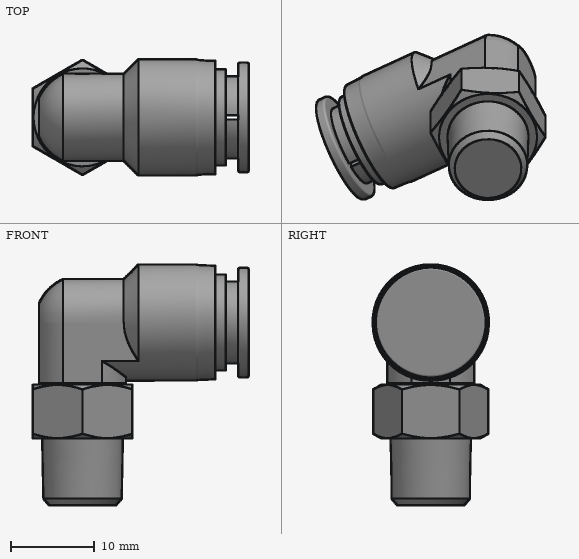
import cadquery as cq
import math

thread_end_radius = 4.73
thread_root_radius = 4.87
thread_chamfer_height = 0.8
thread_tip_radius = 4.0

hex_bottom = 8.03
hex_top = 14.55
hex_across_flats = 12.0
hex_turn = 30
hex_corner_radius = hex_across_flats / math.sqrt(3)
hex_face_radius = 5.9
hex_chamfer_angle = 30
hex_chamfer_height = (hex_corner_radius - hex_face_radius) * math.tan(math.radians(hex_chamfer_angle))

elbow_bottom = 14.73
half_flats = 5.25
column_radius = 5.75
flat_half_width = math.sqrt(column_radius**2 - half_flats**2)
spigot_radius = half_flats

total_height = 29.0
socket_diameter = 14.0
socket_radius = socket_diameter / 2
axis_height = total_height - socket_radius
cone_start = 4.95
cone_end = cone_start + socket_radius - half_flats
socket_end = 13.65
cap_start = 13.9
cap_start_radius = 6.93
cap_end = 16.0
cap_end_radius = 6.85
collar_end = 17.25
collar_radius = 5.8
edge_chamfer = 0.1

sleeve_radius = 4.95
flange_start = 18.7
flange_end = 20.0
flange_radius = 6.6
flange_fillet = 0.3
slot_width = 0.5


def make_stud():
    """Tapered threaded end, chamfered hexagon and the round spigot under the elbow."""
    thread = (
        cq.Workplane("XZ")
        .polyline([
            (0, 0),
            (thread_tip_radius, 0),
            (thread_end_radius, thread_chamfer_height),
            (thread_root_radius, hex_bottom),
            (0, hex_bottom),
        ])
        .close()
        .revolve(360, (0, 0), (0, 1))
    )
    hexagon = (
        cq.Workplane("XY", origin=(0, 0, hex_bottom))
        .transformed(rotate=(0, 0, hex_turn))
        .polygon(6, 2 * hex_corner_radius)
        .extrude(hex_top - hex_bottom)
    )
    corner_envelope = (
        cq.Workplane("XZ")
        .polyline([
            (0, hex_bottom),
            (hex_face_radius, hex_bottom),
            (hex_corner_radius, hex_bottom + hex_chamfer_height),
            (hex_corner_radius, hex_top - hex_chamfer_height),
            (hex_face_radius, hex_top),
            (0, hex_top),
        ])
        .close()
        .revolve(360, (0, 0), (0, 1))
    )
    spigot = (
        cq.Workplane("XY", origin=(0, 0, hex_top))
        .circle(spigot_radius)
        .extrude(elbow_bottom - hex_top)
    )
    return thread.union(hexagon.intersect(corner_envelope)).union(spigot)


def make_bar(radius, start, end):
    """Round bar along the socket axis between two X positions."""
    return cq.Workplane("YZ", origin=(start, 0, axis_height)).circle(radius).extrude(end - start)


def make_column():
    """Upright leg of the elbow: a cylinder with four flats."""
    base = cq.Workplane("XY", origin=(0, 0, elbow_bottom))
    leg_height = axis_height - elbow_bottom
    leg = base.circle(column_radius).extrude(leg_height)
    flats = base.rect(2 * half_flats, 2 * half_flats).extrude(leg_height)
    return leg.intersect(flats)


def make_dome():
    """Spherical back corner above the column, ending where the sphere meets the round arm."""
    sphere = cq.Workplane("XY", origin=(0, 0, axis_height)).sphere(column_radius)
    back_bar = make_bar(half_flats, -half_flats, -flat_half_width)
    above_axis = (
        cq.Workplane("XY", origin=(0, 0, axis_height))
        .rect(2 * column_radius, 2 * column_radius)
        .extrude(column_radius)
    )
    return sphere.intersect(back_bar).intersect(above_axis)


def make_arm():
    """Round-topped arm with flat sides, its underside rounded to the socket radius."""
    lower_web = (
        cq.Workplane("XY", origin=(cone_end / 2, 0, axis_height))
        .rect(cone_end, 2 * half_flats)
        .extrude(-socket_radius)
        .intersect(make_bar(socket_radius, 0, cone_end))
    )
    return make_bar(half_flats, -flat_half_width, cone_end).union(lower_web)


def make_socket():
    """Turned socket with its entry cone, cap, collar and slotted release sleeve."""
    turned = (
        cq.Workplane("XZ", origin=(0, 0, axis_height))
        .polyline([
            (cone_start, 0),
            (cone_start, half_flats),
            (cone_end, socket_radius),
            (socket_end, socket_radius),
            (cap_start, cap_start_radius),
            (cap_end - edge_chamfer, cap_end_radius),
            (cap_end, cap_end_radius - edge_chamfer),
            (cap_end, collar_radius),
            (collar_end - edge_chamfer, collar_radius),
            (collar_end, collar_radius - edge_chamfer),
            (collar_end, sleeve_radius),
            (flange_start, sleeve_radius),
            (flange_start, 0),
        ])
        .close()
        .revolve(360, (0, 0), (1, 0))
    )
    slot = (
        cq.Workplane("XY", origin=((collar_end + flange_start) / 2, 0, axis_height))
        .rect(flange_start - collar_end, slot_width)
        .extrude(sleeve_radius, both=True)
    )
    flange = (
        cq.Workplane("YZ", origin=(flange_start, 0, axis_height))
        .circle(flange_radius)
        .extrude(flange_end - flange_start)
        .edges()
        .fillet(flange_fillet)
    )
    return turned.cut(slot).union(flange)


def make_elbow():
    """Column, domed corner, arm and socket joined into one body."""
    return make_column().union(make_dome()).union(make_arm()).union(make_socket())


stud = make_stud()
elbow = make_elbow()
result = cq.Compound.makeCompound([stud.solids().val(), elbow.solids().val()])